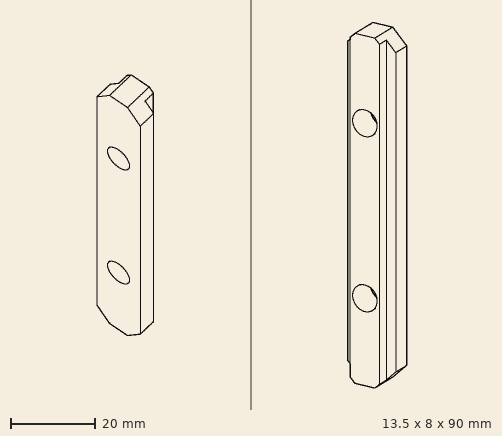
import cadquery as cq

length = 90.0
flange_width = 13.5
depth = 8.0

flange_depth = 4.95
neck_width = 8.2

end_chamfer = 4.0
hole_diameter = 6.8
hole_spacing = length / 2


def bar_section(width, section_depth):
    """Box centred on X and Z, with its front face on Y = 0."""
    return cq.Workplane("XY").box(width, section_depth, length, centered=(True, False, True))


t_bar = bar_section(flange_width, flange_depth).union(bar_section(neck_width, depth))

end_trim = bar_section(flange_width, depth).edges("|Y").chamfer(end_chamfer)

holes = (
    cq.Workplane("XZ")
    .pushPoints([(0, -hole_spacing / 2), (0, hole_spacing / 2)])
    .circle(hole_diameter / 2)
    .extrude(-depth)
)

result = t_bar.intersect(end_trim).cut(holes)